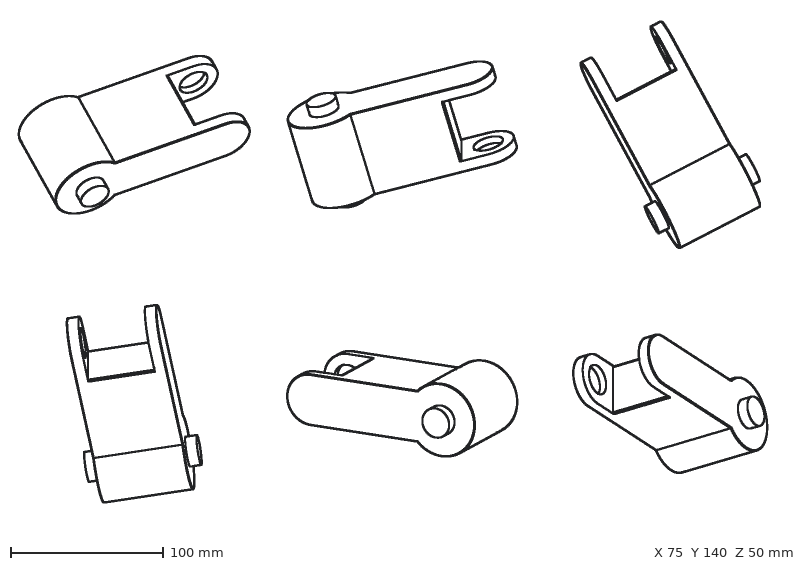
import cadquery as cq

total_length = 140.0
body_width = 60.0
barrel_diameter = 50.0
pin_diameter = 20.0
pin_span = 75.0
arm_height = 35.0
lug_thickness = 7.8
slot_depth = 35.8
slot_edge_chamfer = 1.0
outer_edge_chamfer = 0.4
socket_diameter = 20.0
socket_depth = 4.9

barrel_radius = barrel_diameter / 2
arm_radius = arm_height / 2
arm_tip_y = total_length - barrel_radius
socket_y = arm_tip_y - arm_radius
slot_floor_y = arm_tip_y - slot_depth
slot_width = body_width - 2 * lug_thickness


def cylinder_along_x(diameter, length, y=0):
    """Cylinder centred on the YZ plane, with its axis parallel to X."""
    return cq.Workplane("YZ").center(y, 0).circle(diameter / 2).extrude(length / 2, both=True)


def make_body():
    """Barrel and round-ended arm, with their end-face outlines chamfered."""
    arm = cq.Workplane("XY").box(body_width, socket_y, arm_height).translate((0, socket_y / 2, 0))
    body = cylinder_along_x(barrel_diameter, body_width).union(arm)
    body = body.union(cylinder_along_x(arm_height, body_width, socket_y))
    return body.faces("<X or >X").edges().chamfer(outer_edge_chamfer)


def make_slot():
    """Fork slot cutter, flared at the top and bottom edges of its floor."""
    half_height = arm_height / 2
    floor_half_height = half_height - slot_edge_chamfer
    flare_y = slot_floor_y - slot_edge_chamfer
    return (
        cq.Workplane("YZ")
        .moveTo(arm_tip_y, -half_height)
        .lineTo(flare_y, -half_height)
        .lineTo(slot_floor_y, -floor_half_height)
        .lineTo(slot_floor_y, floor_half_height)
        .lineTo(flare_y, half_height)
        .lineTo(arm_tip_y, half_height)
        .close()
        .extrude(slot_width / 2, both=True)
    )


sockets = cylinder_along_x(socket_diameter, slot_width + 2 * socket_depth, socket_y)
pin = cylinder_along_x(pin_diameter, pin_span)

result = make_body().cut(make_slot()).cut(sockets).union(pin)